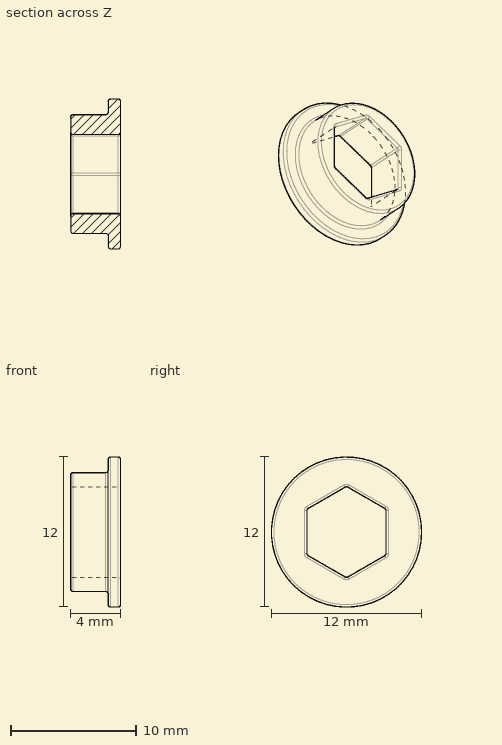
import cadquery as cq
import math

flange_diameter = 12.0
body_diameter = 9.5
total_length = 4.0
flange_thickness = 1.0
hex_across_flats = 6.3
edge_radius = 0.2
hex_corner_radius = 0.2

body_length = total_length - flange_thickness


def make_flanged_body():
    """Cylindrical body with a rounded flange at its +X end."""
    body = (
        cq.Workplane("YZ")
        .circle(body_diameter / 2)
        .extrude(body_length)
        .faces(">X")
        .workplane()
        .circle(flange_diameter / 2)
        .extrude(flange_thickness)
    )
    return body.edges("%CIRCLE").fillet(edge_radius)


def cut_hex_bore(body):
    """Through bore with flats facing +/-Y, rounded corners and rounded mouths."""
    across_corners = hex_across_flats / math.cos(math.radians(30))
    cutter = (
        cq.Workplane("YZ")
        .transformed(rotate=(0, 0, 90))
        .polygon(6, across_corners)
        .extrude(total_length)
        .edges("|X")
        .fillet(hex_corner_radius)
    )
    bored = body.cut(cutter)
    mouth_edges = []
    for end_face in bored.faces("<X or >X").vals():
        for wire in end_face.innerWires():
            mouth_edges.extend(wire.Edges())
    return bored.newObject(mouth_edges).fillet(edge_radius)


result = cut_hex_bore(make_flanged_body())